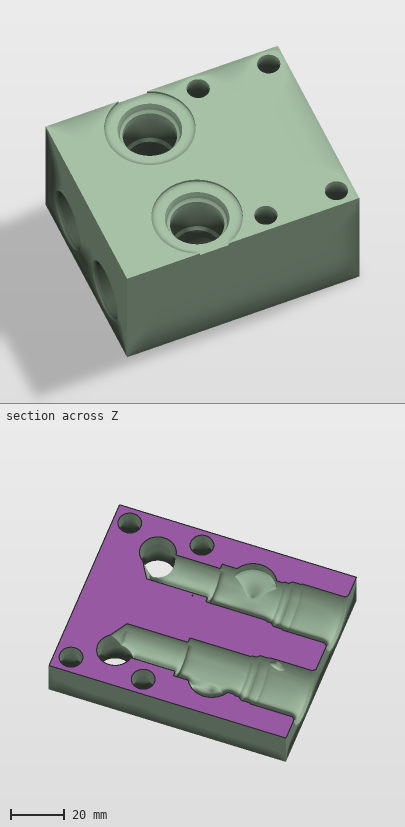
import cadquery as cq
import math

WIDTH = 76.2
LENGTH = 93.7
HEIGHT = 49.3
FRONT_Y = -LENGTH / 2

DRILL_HALF_ANGLE = math.radians(59)

MOUNT_RADIUS = 4.3
MOUNT_X = 31.7
MOUNT_ROWS_Y = (40.4, 11.9)

PORT_X = 22.1
PORT_Y = -11.7
SPOTFACE_RADIUS = 17.0
SPOTFACE_DEPTH = 1.0
PORT_MOUTH_RADIUS = 12.0
PORT_SEAT_RADIUS = 11.15
PORT_SEAT_DEPTH = 2.5
PORT_THREAD_RADIUS = 10.1
PORT_THREAD_END = 18.7
PORT_DRILL_RADIUS = 8.8
PORT_DRILL_END_Z = 12.0

CAVITY_X = 17.4
CAVITY_Z = 16.0
CAVITY_MOUTH_RADIUS = 11.9
CAVITY_ENTRY_RADIUS = 10.8
CAVITY_ENTRY_END = 17.8
CAVITY_BODY_RADIUS = 10.4
CAVITY_BODY_END = 21.5
CAVITY_GUIDE_RADIUS = 9.3
CAVITY_GUIDE_END = 24.4
CAVITY_NOSE_RADIUS = 8.8
CAVITY_NOSE_END = 48.7
PILOT_RADIUS = 6.7
PILOT_END = 72.8

PASSAGE_RADIUS = PILOT_RADIUS
PASSAGE_X = 23.0
PASSAGE_Y = sum(MOUNT_ROWS_Y) / 2
PASSAGE_END_Z = 19.0

LINK_RADIUS = 1.9
LINK_Z = CAVITY_Z - 2.9
LINK_START_DEPTH = 1.4
LINK_ANGLE = math.radians(38)


def drill_point(radius):
    """Height of the conical end left by a drill."""
    return radius / math.tan(DRILL_HALF_ANGLE)


def turned(steps):
    """Solid turned about Z from (radius, depth) steps, going down and ending on the axis."""
    outline = [(0, 0)]
    outline += [(radius, -depth) for radius, depth in steps]
    return cq.Workplane("XZ").polyline(outline).close().revolve(360, (0, 0), (0, 1))


def top_port():
    """Spotfaced port with a tapered seat, thread bore and pointed drilling."""
    thread_start = PORT_SEAT_DEPTH + PORT_SEAT_RADIUS - PORT_THREAD_RADIUS
    thread_runout = drill_point(PORT_THREAD_RADIUS) - drill_point(PORT_DRILL_RADIUS)
    drill_end = HEIGHT - PORT_DRILL_END_Z
    return turned([
        (SPOTFACE_RADIUS, 0),
        (SPOTFACE_RADIUS, SPOTFACE_DEPTH),
        (PORT_MOUTH_RADIUS, SPOTFACE_DEPTH),
        (PORT_SEAT_RADIUS, SPOTFACE_DEPTH + PORT_SEAT_DEPTH),
        (PORT_THREAD_RADIUS, SPOTFACE_DEPTH + thread_start),
        (PORT_THREAD_RADIUS, SPOTFACE_DEPTH + PORT_THREAD_END),
        (PORT_DRILL_RADIUS, SPOTFACE_DEPTH + PORT_THREAD_END + thread_runout),
        (PORT_DRILL_RADIUS, drill_end),
        (0, drill_end + drill_point(PORT_DRILL_RADIUS)),
    ])


def front_cavity():
    """Cavity stepping down through 45 degree shoulders to a flat floor and a pilot drilling."""
    steps = turned([
        (CAVITY_MOUTH_RADIUS, 0),
        (CAVITY_ENTRY_RADIUS, CAVITY_MOUTH_RADIUS - CAVITY_ENTRY_RADIUS),
        (CAVITY_ENTRY_RADIUS, CAVITY_ENTRY_END),
        (CAVITY_BODY_RADIUS, CAVITY_ENTRY_END + CAVITY_ENTRY_RADIUS - CAVITY_BODY_RADIUS),
        (CAVITY_BODY_RADIUS, CAVITY_BODY_END),
        (CAVITY_GUIDE_RADIUS, CAVITY_BODY_END + CAVITY_BODY_RADIUS - CAVITY_GUIDE_RADIUS),
        (CAVITY_GUIDE_RADIUS, CAVITY_GUIDE_END),
        (CAVITY_NOSE_RADIUS, CAVITY_GUIDE_END + CAVITY_GUIDE_RADIUS - CAVITY_NOSE_RADIUS),
        (CAVITY_NOSE_RADIUS, CAVITY_NOSE_END),
        (PILOT_RADIUS, CAVITY_NOSE_END),
        (PILOT_RADIUS, PILOT_END),
        (0, PILOT_END + drill_point(PILOT_RADIUS)),
    ])
    return steps.rotate((0, 0, 0), (1, 0, 0), 90)


def bottom_passage():
    """Pointed drilling rising from the bottom face."""
    drilling = turned([
        (PASSAGE_RADIUS, 0),
        (PASSAGE_RADIUS, PASSAGE_END_Z),
        (0, PASSAGE_END_Z + drill_point(PASSAGE_RADIUS)),
    ])
    return drilling.rotate((0, 0, 0), (1, 0, 0), 180)


def link_drilling():
    """Slanted passage running between the vertical midplanes of the two front cavities."""
    start = cq.Vector(-CAVITY_X, FRONT_Y + LINK_START_DEPTH, LINK_Z)
    direction = cq.Vector(math.sin(LINK_ANGLE), math.cos(LINK_ANGLE), 0)
    length = 2 * CAVITY_X / math.sin(LINK_ANGLE)
    return cq.Workplane(cq.Solid.makeCylinder(LINK_RADIUS, length, start, direction))


result = cq.Workplane("XY").box(WIDTH, LENGTH, HEIGHT, centered=(True, True, False))

mount_points = [(side * MOUNT_X, y) for side in (-1, 1) for y in MOUNT_ROWS_Y]
result = result.cut(cq.Workplane("XY").pushPoints(mount_points).circle(MOUNT_RADIUS).extrude(HEIGHT))

for side in (-1, 1):
    result = result.cut(top_port().translate((side * PORT_X, PORT_Y, HEIGHT)))
    result = result.cut(front_cavity().translate((side * CAVITY_X, FRONT_Y, CAVITY_Z)))
    result = result.cut(bottom_passage().translate((side * PASSAGE_X, PASSAGE_Y, 0)))

result = result.cut(link_drilling())